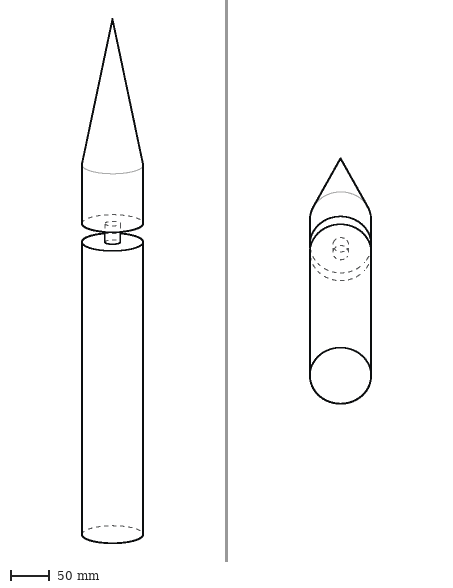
import cadquery as cq

total_height = 700.0
body_diameter = 80.0
neck_diameter = 20.0
base_height = 397.0
neck_height = 25.0
collar_height = 80.0

neck_bottom = base_height
collar_bottom = neck_bottom + neck_height
cone_bottom = collar_bottom + collar_height

body_radius = body_diameter / 2
neck_radius = neck_diameter / 2

half_profile = (
    cq.Workplane("XZ")
    .moveTo(0, 0)
    .lineTo(body_radius, 0)
    .lineTo(body_radius, neck_bottom)
    .lineTo(neck_radius, neck_bottom)
    .lineTo(neck_radius, collar_bottom)
    .lineTo(body_radius, collar_bottom)
    .lineTo(body_radius, cone_bottom)
    .lineTo(0, total_height)
    .close()
)

result = half_profile.revolve(360, (0, 0), (0, 1))